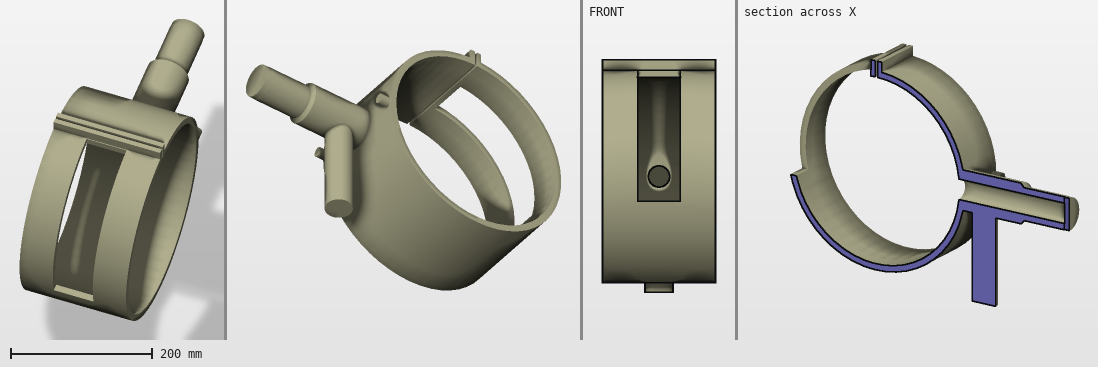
import cadquery as cq

ring_outer_radius = 150.0
ring_thickness = 10.0
ring_inner_radius = ring_outer_radius - ring_thickness
ring_width = 160.0

lip_gap = 4.0
lip_thickness = 7.0
lip_top_z = 165.0

window_width = 60.0
window_top_y = -10.0
window_bottom_z = -35.0

tube_radius = 31.0
neck_radius = 25.2
bore_radius = 15.0
shoulder_start_y = 245.0
shoulder_end_y = 250.0
neck_end_y = 318.0

cap_radius = 24.7
cap_thickness = 9.0

branch_radius = 20.0
branch_y = 182.0
branch_bottom_z = -163.73

peg_radius = 7.5
peg_height = 15.0
peg_end_y = ring_outer_radius + peg_height
peg_x = ring_width / 2 - peg_radius


def cylinder_along_y(radius, start_y, end_y, x=0.0):
    """Solid cylinder parallel to Y at height z = 0."""
    return cq.Workplane("XZ", origin=(x, start_y, 0)).circle(radius).extrude(start_y - end_y)


def cylinder_along_x(radius):
    """Solid cylinder on the X axis, as long as the ring is wide."""
    return cq.Workplane("YZ", origin=(-ring_width / 2, 0, 0)).circle(radius).extrude(ring_width)


def make_lips():
    """Block that the split later divides into two lips."""
    lips_depth = lip_gap + 2 * lip_thickness
    return cq.Workplane("XY").box(ring_width, lips_depth, lip_top_z, centered=(True, True, False))


def make_split():
    """Narrow gap through the lips and the top of the ring."""
    return cq.Workplane("XY").box(ring_width, lip_gap, lip_top_z, centered=(True, True, False))


def make_window():
    """Box that opens the -Y wall from window_bottom_z up to the top of the ring."""
    depth = ring_outer_radius + window_top_y
    height = ring_outer_radius - window_bottom_z
    return (
        cq.Workplane("XY")
        .box(window_width, depth, height, centered=(True, False, False))
        .translate((0, -ring_outer_radius, window_bottom_z))
    )


def make_tube():
    """Wide tube, conical shoulder and narrow neck, revolved about the Y axis."""
    return (
        cq.Workplane("XY")
        .moveTo(0, 0)
        .lineTo(tube_radius, 0)
        .lineTo(tube_radius, shoulder_start_y)
        .lineTo(neck_radius, shoulder_end_y)
        .lineTo(neck_radius, neck_end_y)
        .lineTo(0, neck_end_y)
        .close()
        .revolve(360, (0, 0, 0), (0, 1, 0))
    )


def make_branch():
    """Pipe from the tube axis down to its free end."""
    return (
        cq.Workplane("XY", origin=(0, branch_y, 0))
        .circle(branch_radius)
        .extrude(branch_bottom_z)
    )


def make_saddle():
    """Ring, lips, pegs, tube and branch as one solid."""
    saddle = cylinder_along_x(ring_outer_radius).union(make_lips())
    saddle = saddle.union(make_tube()).union(make_branch())
    for x in (-peg_x, peg_x):
        saddle = saddle.union(cylinder_along_y(peg_radius, 0, peg_end_y, x))
    saddle = saddle.cut(cylinder_along_x(ring_inner_radius))
    saddle = saddle.cut(make_split()).cut(make_window())
    return saddle.cut(cylinder_along_y(bore_radius, 0, neck_end_y))


def make_cap():
    """Solid disc seated on the end face of the neck."""
    return cylinder_along_y(cap_radius, neck_end_y, neck_end_y + cap_thickness)


saddle = make_saddle()
cap = make_cap()

result = cq.Compound.makeCompound([saddle.val(), cap.val()])